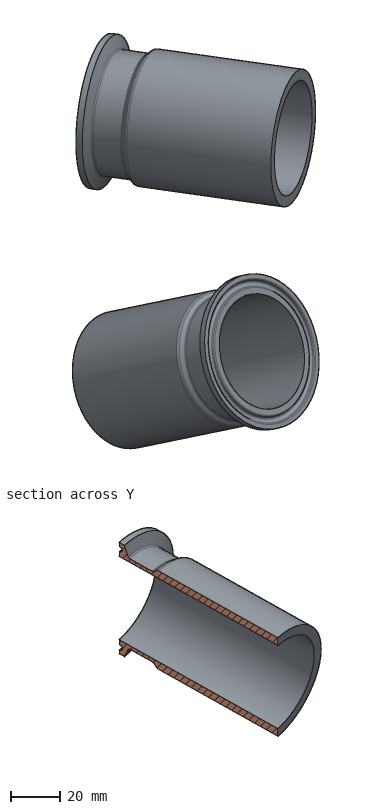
import cadquery as cq
import math

length = 82.55
flange_radius = 63.9 / 2
neck_radius = 52.1 / 2
body_radius = 56.6 / 2
bore_radius = 47.5 / 2

rim_width = 2.8
back_angle = math.radians(20)
back_fillet = 0.7
back_end = rim_width + (flange_radius - neck_radius) * math.tan(back_angle)

shoulder_start = 17.7
shoulder_end = shoulder_start + body_radius - neck_radius
shoulder_inner_fillet = 0.8
shoulder_outer_fillet = 1.65

groove_center_radius = 28.15
groove_depth = 1.6
groove_bottom_radius = 1.2
groove_flank_angle = math.radians(25)
groove_lip_fillet = 0.54


def fillet_circle(solid, x, radius, fillet):
    """Round the circular edge of the given radius at axial position x."""
    margin = 0.04
    low = (x - margin, -radius - margin, -radius - margin)
    high = (x + margin, radius + margin, radius + margin)
    inside_box = cq.selectors.BoxSelector(low, high, boundingbox=True)
    largest = cq.selectors.RadiusNthSelector(-1)
    return solid.edges(inside_box).edges(largest).fillet(fillet)


def make_ferrule():
    """Revolve the tube with its flange, neck and body, then round the corners."""
    profile = (
        cq.Workplane("XY")
        .moveTo(0, bore_radius)
        .lineTo(0, flange_radius)
        .lineTo(rim_width, flange_radius)
        .lineTo(back_end, neck_radius)
        .lineTo(shoulder_start, neck_radius)
        .lineTo(shoulder_end, body_radius)
        .lineTo(length, body_radius)
        .lineTo(length, bore_radius)
        .close()
    )
    solid = profile.revolve(360, (0, 0, 0), (1, 0, 0))
    solid = fillet_circle(solid, back_end, neck_radius, back_fillet)
    solid = fillet_circle(solid, shoulder_start, neck_radius, shoulder_inner_fillet)
    return fillet_circle(solid, shoulder_end, body_radius, shoulder_outer_fillet)


def cut_gasket_groove(solid):
    """Cut the ring groove into the flange face and round its lips."""
    arc_half_width = groove_bottom_radius * math.cos(groove_flank_angle)
    arc_start = groove_depth - groove_bottom_radius * (1 - math.sin(groove_flank_angle))
    mouth_half_width = arc_half_width + arc_start * math.tan(groove_flank_angle)
    inner_lip = groove_center_radius - mouth_half_width
    outer_lip = groove_center_radius + mouth_half_width

    groove = (
        cq.Workplane("XY")
        .moveTo(0, inner_lip)
        .lineTo(arc_start, groove_center_radius - arc_half_width)
        .threePointArc(
            (groove_depth, groove_center_radius),
            (arc_start, groove_center_radius + arc_half_width),
        )
        .lineTo(0, outer_lip)
        .close()
        .revolve(360, (0, 0, 0), (1, 0, 0))
    )
    solid = solid.cut(groove)
    for lip_radius in (inner_lip, outer_lip):
        solid = fillet_circle(solid, 0, lip_radius, groove_lip_fillet)
    return solid


result = cut_gasket_groove(make_ferrule())